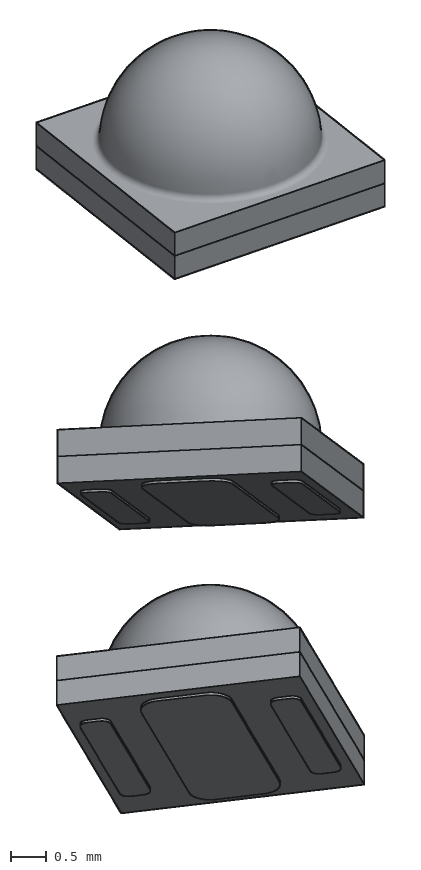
import cadquery as cq
import math

package_width = 3.5
layer_thickness = 0.38
pad_thickness = 0.04

dome_radius = 1.55
dome_fillet = 0.1

pad_span = 3.18
thermal_pad_width = 1.3
thermal_pad_corner = 0.3
contact_pad_width = 0.44
contact_pad_length = 2.38
contact_pad_corner = 0.13

substrate_bottom = pad_thickness
substrate_top = substrate_bottom + layer_thickness
plate_top = substrate_top + layer_thickness

contact_pad_offset = (pad_span - contact_pad_width) / 2


def square_layer(bottom):
    """Square layer of the package, starting at the given level."""
    return (
        cq.Workplane("XY", origin=(0, 0, bottom))
        .rect(package_width, package_width)
        .extrude(layer_thickness)
    )


def solder_pad(center_x, width, length, corner):
    """Thin pad with rounded corners, reaching from Z = 0 to the substrate."""
    return (
        cq.Workplane("XY", origin=(center_x, 0, 0))
        .rect(width, length)
        .extrude(pad_thickness)
        .edges("|Z")
        .fillet(corner)
    )


def make_substrate():
    """Ceramic substrate carrying one thermal pad between two contact pads."""
    substrate = square_layer(substrate_bottom)
    substrate = substrate.union(solder_pad(0, thermal_pad_width, pad_span, thermal_pad_corner))
    for side in (-1, 1):
        contact_pad = solder_pad(
            side * contact_pad_offset, contact_pad_width, contact_pad_length, contact_pad_corner
        )
        substrate = substrate.union(contact_pad)
    return substrate


def make_dome():
    """Hemisphere flaring into the plate through a concave fillet, as a solid of revolution."""
    center_distance = dome_radius + dome_fillet
    foot_radius = math.sqrt(center_distance**2 - dome_fillet**2)
    fillet_tilt = math.asin(dome_fillet / center_distance)

    def on_dome(angle):
        return dome_radius * math.cos(angle), plate_top + dome_radius * math.sin(angle)

    mid_angle = (math.pi + fillet_tilt + 3 * math.pi / 2) / 2
    fillet_middle = (
        foot_radius + dome_fillet * math.cos(mid_angle),
        plate_top + dome_fillet + dome_fillet * math.sin(mid_angle),
    )
    dome_middle = on_dome((fillet_tilt + math.pi / 2) / 2)

    return (
        cq.Workplane("XZ")
        .moveTo(0, plate_top)
        .lineTo(foot_radius, plate_top)
        .threePointArc(fillet_middle, on_dome(fillet_tilt))
        .threePointArc(dome_middle, (0, plate_top + dome_radius))
        .close()
        .revolve(360, (0, 0, 0), (0, 1, 0))
    )


def make_lens():
    """Lens dome in one piece with its square plate."""
    return square_layer(substrate_top).union(make_dome())


substrate = make_substrate()
lens = make_lens()

result = cq.Compound.makeCompound([substrate.val(), lens.val()])